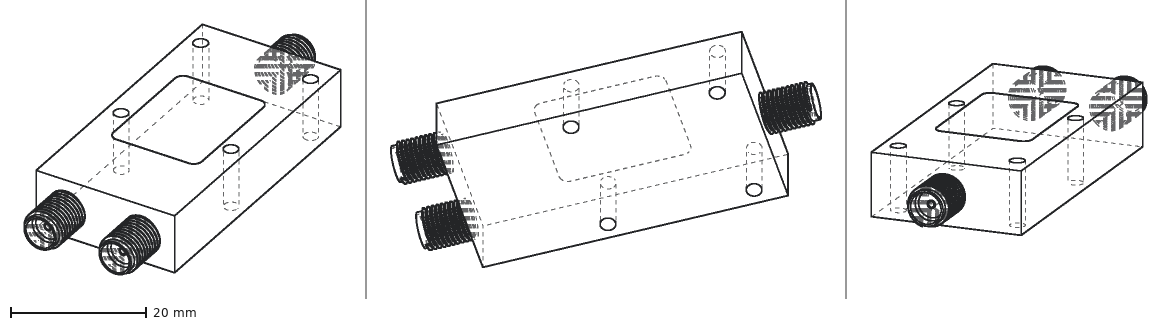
import cadquery as cq

housing_width = 24.0
housing_length = 47.05
total_length = 62.75
total_height = 10.05

panel_width = 15.3
panel_length = 20.25
panel_corner_radius = 1.4
panel_height = 0.05

mount_hole_diameter = 2.3
mount_hole_spacing = 19.0
mount_hole_rows = (19.0, -3.5)

output_spacing = 13.0
connector_length = (total_length - housing_length) / 2
root_radius = 2.75
crest_radius = 3.2
thread_turns = 11.2
thread_pitch = connector_length / thread_turns
plain_tip_length = 0.4
ridge_base_width = 0.55
ridge_crest_width = 0.1
ridge_root_overlap = 0.05
wall_overlap = 0.3

socket_radius = 2.45
socket_floor_radius = 2.1
socket_depth = 2.2
socket_cone_length = 0.4
contact_radius = 0.6
contact_hole_radius = 0.45
contact_height = 0.05
contact_hole_depth = 1.9

housing_height = total_height - panel_height
housing_bottom = -total_height / 2
housing_top = housing_bottom + housing_height


def make_housing():
    block = cq.Workplane("XY", origin=(0, 0, housing_bottom)).rect(housing_width, housing_length)
    block = block.extrude(housing_height)
    panel = cq.Workplane("XY", origin=(0, 0, housing_top)).rect(panel_width, panel_length)
    panel = panel.extrude(panel_height).edges("|Z").fillet(panel_corner_radius)
    centres = [(side * mount_hole_spacing / 2, y) for y in mount_hole_rows for side in (-1, 1)]
    holes = cq.Workplane("XY", origin=(0, 0, housing_bottom)).pushPoints(centres)
    holes = holes.circle(mount_hole_diameter / 2).extrude(total_height)
    return block.union(panel).cut(holes)


def make_thread_ridge():
    """Helical ridge around Z, from inside the housing wall up to the plain tip."""
    start = -wall_overlap
    height = connector_length - plain_tip_length - ridge_base_width / 2 - start
    base_radius = root_radius - ridge_root_overlap
    helix = cq.Wire.makeHelix(thread_pitch, height, base_radius).translate(cq.Vector(0, 0, start))
    profile = cq.Workplane("XZ").polyline([
        (base_radius, start - ridge_base_width / 2),
        (crest_radius, start - ridge_crest_width / 2),
        (crest_radius, start + ridge_crest_width / 2),
        (base_radius, start + ridge_base_width / 2),
    ]).close()
    return profile.sweep(cq.Workplane(obj=helix), isFrenet=True)


def make_connector():
    """Connector along +Z with its base plane at Z = 0."""
    barrel = cq.Workplane("XY", origin=(0, 0, -wall_overlap)).circle(root_radius)
    barrel = barrel.extrude(connector_length + wall_overlap).union(make_thread_ridge())
    floor = connector_length - socket_depth
    socket = cq.Workplane("XZ").polyline([
        (0, floor),
        (socket_floor_radius, floor),
        (socket_radius, floor + socket_cone_length),
        (socket_radius, connector_length),
        (0, connector_length),
    ]).close().revolve(360, (0, 0, 0), (0, 1, 0))
    contact = cq.Workplane("XY", origin=(0, 0, floor)).circle(contact_radius).extrude(contact_height)
    contact_hole = cq.Workplane("XY", origin=(0, 0, floor + contact_height))
    contact_hole = contact_hole.circle(contact_hole_radius).extrude(-contact_hole_depth)
    return barrel.cut(socket).union(contact).cut(contact_hole)


connector = make_connector()
output_connector = connector.rotate((0, 0, 0), (1, 0, 0), 90)
input_connector = connector.rotate((0, 0, 0), (0, 0, 1), 180).rotate((0, 0, 0), (1, 0, 0), -90)

result = make_housing()
result = result.union(input_connector.translate((0, housing_length / 2, 0)))
for side in (-1, 1):
    output_place = (side * output_spacing / 2, -housing_length / 2, 0)
    result = result.union(output_connector.translate(output_place))